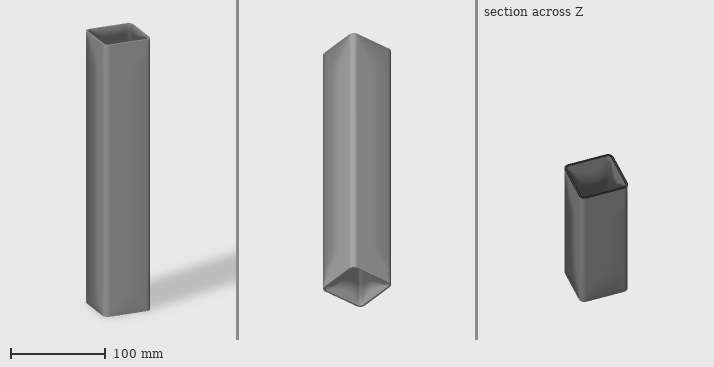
import cadquery as cq

outer_width = 54.36
length = 304.8
wall = 2.18
outer_corner_radius = 6.1

inner_width = outer_width - 2 * wall
inner_corner_radius = outer_corner_radius - wall


def rounded_square_bar(width, corner_radius):
    """Full-length square bar, centred on the origin, with rounded long edges."""
    return cq.Workplane("XY").box(width, width, length).edges("|Z").fillet(corner_radius)


outer_bar = rounded_square_bar(outer_width, outer_corner_radius)
bore = rounded_square_bar(inner_width, inner_corner_radius)

result = outer_bar.cut(bore)